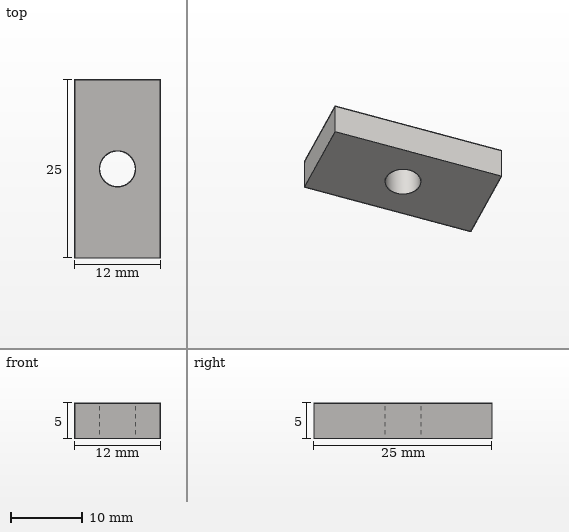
import cadquery as cq

width = 12.0
length = 25.0
thickness = 5.0

hole_diameter = 5.0

plate = cq.Workplane("XY").box(width, length, thickness)
result = plate.faces(">Z").workplane().hole(hole_diameter)